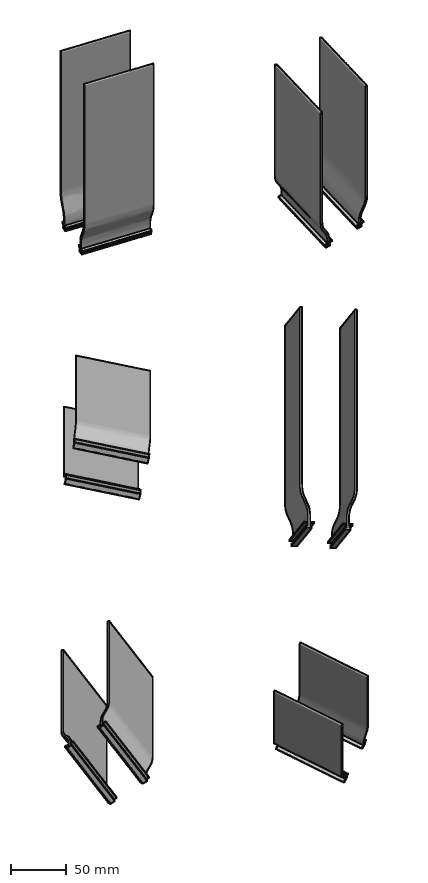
import cadquery as cq

TOTAL_WIDTH = 52.4
LENGTH = 68.0
HEIGHT = 203.8

THICKNESS = 2.2
HALF_THICKNESS = THICKNESS / 2
BEND_BOTTOM = 10.2
BEND_TOP = 40.1

ROOT_SPACING = 35.3
ROOT_CENTER = ROOT_SPACING / 2
FOOT_WIDTH = 5.0
FOOT_HEIGHT = 2.0
FLANGE_WIDTH = 9.0
FLANGE_BOTTOM = 4.5
FLANGE_THICKNESS = 1.2

BLADE_CENTER = TOTAL_WIDTH / 2 - HALF_THICKNESS
BEND_MIDDLE = (BEND_BOTTOM + BEND_TOP) / 2


def bend_points(offset):
    """Bezier points, bottom to top, of the S-bend at an X offset from the plate's centre line."""
    root_x = ROOT_CENTER + offset
    blade_x = BLADE_CENTER + offset
    return [
        (root_x, BEND_BOTTOM),
        (root_x, BEND_MIDDLE),
        (blade_x, BEND_MIDDLE),
        (blade_x, BEND_TOP),
    ]


def extrude_along_y(profile):
    """Extrude an XZ profile by the full length, centred on Y = 0."""
    return profile.extrude(LENGTH).translate((0, LENGTH / 2, 0))


def make_plate():
    """S-bent plate with a rounded tip, standing on the +X side."""
    outer_bend = bend_points(HALF_THICKNESS)
    inner_bend = bend_points(-HALF_THICKNESS)
    shoulder = HEIGHT - HALF_THICKNESS
    profile = (
        cq.Workplane("XZ")
        .moveTo(ROOT_CENTER + HALF_THICKNESS, 0)
        .lineTo(*outer_bend[0])
        .bezier(outer_bend)
        .lineTo(BLADE_CENTER + HALF_THICKNESS, shoulder)
        .threePointArc((BLADE_CENTER, HEIGHT), (BLADE_CENTER - HALF_THICKNESS, shoulder))
        .lineTo(*inner_bend[-1])
        .bezier(inner_bend[::-1])
        .lineTo(ROOT_CENTER - HALF_THICKNESS, 0)
        .close()
    )
    return extrude_along_y(profile)


def make_strip(width, height, bottom):
    """Full-length rectangular strip centred on the root."""
    profile = cq.Workplane("XZ").center(ROOT_CENTER, bottom + height / 2).rect(width, height)
    return extrude_along_y(profile)


def make_side_panel():
    """One complete side panel: plate, foot and flange."""
    foot = make_strip(FOOT_WIDTH, FOOT_HEIGHT, 0)
    flange = make_strip(FLANGE_WIDTH, FLANGE_THICKNESS, FLANGE_BOTTOM)
    return make_plate().union(foot).union(flange)


side_panels = []
for turn in (0, 180):
    panel = make_side_panel().rotate((0, 0, 0), (0, 0, 1), turn)
    side_panels.append(panel.val())

result = cq.Compound.makeCompound(side_panels)